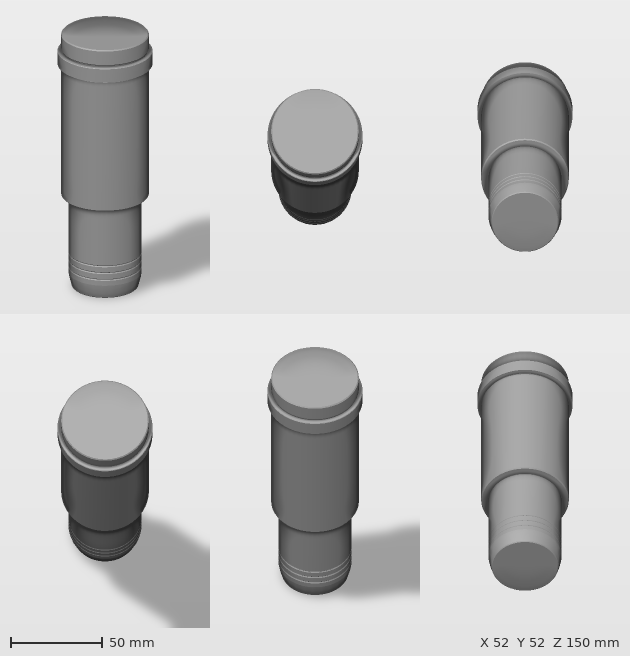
import cadquery as cq

total_length = 150.0
head_bottom = 140.7
flange_top = 140.0
flange_bottom = 132.0
body_top = 131.4
body_bottom = 54.0
shank_top = 53.1
nose_top = 8.1

body_radius = 24.0
flange_radius = 26.02
shank_radius = 20.02
nose_mid_radius = 19.4
tip_radius = 18.3

relief_depth = 0.6
shank_relief_depth = 0.5
edge_chamfer = 0.6
flange_chamfer = 0.3
tip_chamfer = 0.5

groove_count = 3
groove_pitch = 4.0
lowest_groove_height = 11.5
groove_width = 1.0
groove_depth = 0.5


def disc(radius, bottom, top):
    """Solid cylinder on the Z axis between two heights."""
    return cq.Workplane("XY").workplane(offset=bottom).circle(radius).extrude(top - bottom)


def groove(height):
    """Triangular ring that cuts one shallow V-groove centred on a height."""
    half_width = groove_width / 2
    return (
        cq.Workplane("XZ")
        .moveTo(shank_radius, height - half_width)
        .lineTo(shank_radius - groove_depth, height)
        .lineTo(shank_radius, height + half_width)
        .close()
        .revolve(360, (0, 0), (0, 1))
    )


def nose():
    """Slightly bulged lead-in at the lower end, with a chamfered tip."""
    return (
        cq.Workplane("XZ")
        .lineTo(tip_radius - tip_chamfer, 0)
        .lineTo(tip_radius, tip_chamfer)
        .threePointArc((nose_mid_radius, nose_top / 2), (shank_radius, nose_top))
        .lineTo(0, nose_top)
        .close()
        .revolve(360, (0, 0), (0, 1))
    )


head = disc(body_radius, head_bottom, total_length).edges().chamfer(edge_chamfer)
flange = disc(flange_radius, flange_bottom, flange_top).faces(">Z").chamfer(flange_chamfer)
body = disc(body_radius, body_bottom, body_top).edges().chamfer(edge_chamfer)
relief_core = disc(body_radius - relief_depth, body_bottom, total_length - edge_chamfer)

shank = disc(shank_radius, nose_top, shank_top)
shank_relief = disc(shank_radius - shank_relief_depth, nose_top, body_bottom)

result = nose().union(shank).union(shank_relief).union(body)
result = result.union(relief_core).union(flange).union(head)

for index in range(groove_count):
    result = result.cut(groove(lowest_groove_height + index * groove_pitch))